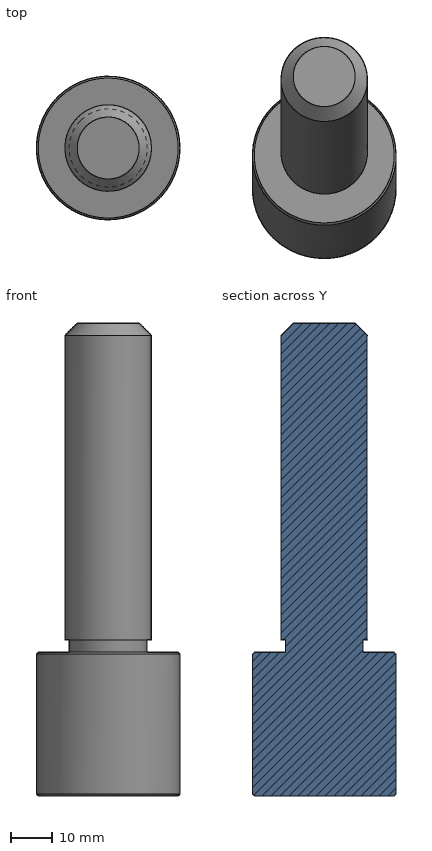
import cadquery as cq

total_length = 115.0
head_diameter = 35.0
head_height = 35.0
head_chamfer = 0.5
neck_diameter = 19.0
neck_height = 3.0
shank_diameter = 21.0
tip_chamfer = 3.0

shank_length = total_length - head_height - neck_height

head = (
    cq.Workplane("XY")
    .circle(head_diameter / 2)
    .extrude(head_height)
    .edges()
    .chamfer(head_chamfer)
)

neck = (
    cq.Workplane("XY")
    .workplane(offset=head_height)
    .circle(neck_diameter / 2)
    .extrude(neck_height)
)

shank = (
    cq.Workplane("XY")
    .workplane(offset=head_height + neck_height)
    .circle(shank_diameter / 2)
    .extrude(shank_length)
    .faces(">Z")
    .chamfer(tip_chamfer)
)

result = head.union(neck).union(shank)